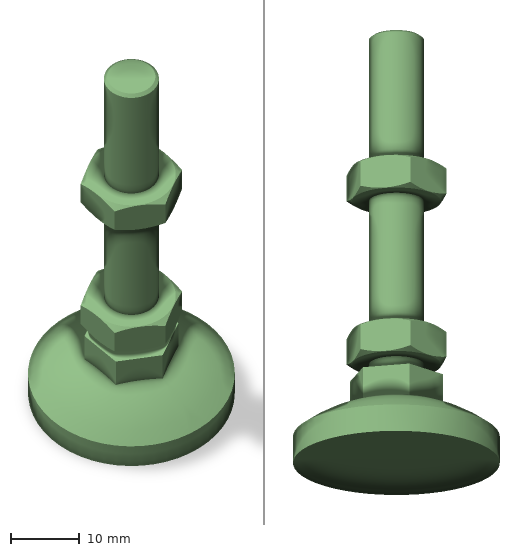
import cadquery as cq
import math

foot_radius = 15.0
rim_height = 4.0
dome_top = 9.2

neck_flats = 12.0
neck_top = 13.0

total_height = 65.0
stud_diameter = 8.0
stud_chamfer_height = 0.4
stud_chamfer_width = 0.5

nut_flats = 13.0
nut_face_diameter = 12.9
nut_height = 5.0
nut_bottoms = (15.0, 40.0)
nut_chamfer_angle = math.radians(30)


def hex_prism(across_flats, bottom, height):
    """Vertical hexagonal prism with two corners on the X axis."""
    across_corners = across_flats / math.cos(math.pi / 6)
    return cq.Workplane("XY").workplane(offset=bottom).polygon(6, across_corners).extrude(height)


def revolve_profile(profile):
    """Turn a closed half-profile in the XZ plane around the Z axis."""
    return profile.close().revolve(360, (0, 0, 0), (0, 1, 0))


def make_foot():
    dome_rise = dome_top - rim_height
    dome_radius = (foot_radius**2 + dome_rise**2) / (2 * dome_rise)
    dome_centre = dome_top - dome_radius
    half_angle = math.asin(foot_radius / dome_radius) / 2
    arc_middle = (
        dome_radius * math.sin(half_angle),
        dome_centre + dome_radius * math.cos(half_angle),
    )
    profile = (
        cq.Workplane("XZ")
        .lineTo(foot_radius, 0)
        .lineTo(foot_radius, rim_height)
        .threePointArc(arc_middle, (0, dome_top))
    )
    return revolve_profile(profile)


def make_stud():
    stud_radius = stud_diameter / 2
    profile = (
        cq.Workplane("XZ")
        .lineTo(stud_radius, 0)
        .lineTo(stud_radius, total_height - stud_chamfer_height)
        .lineTo(stud_radius - stud_chamfer_width, total_height)
        .lineTo(0, total_height)
    )
    return revolve_profile(profile)


def make_nut(bottom):
    """Hexagonal nut whose corners are trimmed by a cone at both ends."""
    face_radius = nut_face_diameter / 2
    corner_radius = nut_flats / 2 / math.cos(math.pi / 6)
    chamfer_height = (corner_radius - face_radius) * math.tan(nut_chamfer_angle)
    top = bottom + nut_height
    profile = (
        cq.Workplane("XZ")
        .moveTo(0, bottom)
        .lineTo(face_radius, bottom)
        .lineTo(corner_radius, bottom + chamfer_height)
        .lineTo(corner_radius, top - chamfer_height)
        .lineTo(face_radius, top)
        .lineTo(0, top)
    )
    return hex_prism(nut_flats, bottom, nut_height).intersect(revolve_profile(profile))


neck = hex_prism(neck_flats, rim_height, neck_top - rim_height)
result = make_foot().union(neck).union(make_stud())
for nut_bottom in nut_bottoms:
    result = result.union(make_nut(nut_bottom))